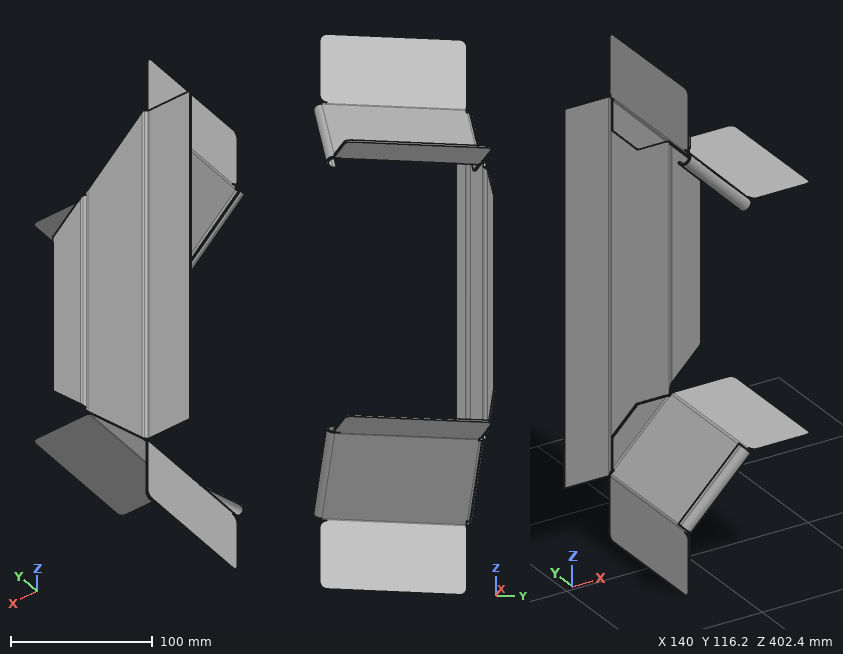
import cadquery as cq
import math

sheet = 1.5
bend_inner = 1.0
bend_outer = bend_inner + sheet
half_height = 201.2

plate_half = 150.5
slope = 50.5
side_flange = 39.0
plate_right = 77.3
tail_inset = 3.0
joggle_step = 3.0
first_joggle_x = -2.0
second_joggle_x = 50.0

flange_right = 101.0
flange_back = 1.0
flange_front = -104.5
corner_radius = 5.0

hook_start = -103.5
hook_outer = 5.2
hook_return = 3.0

tab_width = 19.5
tab_left = 1.5
tab_lift = 1.0

hook_inner = hook_outer - sheet
slope_bottom = plate_half - slope
wall_length = slope * math.sqrt(2)
wall_back = joggle_step - bend_outer
half_bend = math.radians(22.5)
bend_setback = bend_outer * math.tan(half_bend)
mitre_shift = sheet * math.tan(half_bend)


def round_edges(body, points, radius):
    """Fillet the edge nearest to each point."""
    for point in points:
        body = body.edges(cq.selectors.NearestToPointSelector(point)).fillet(radius)
    return body


def make_back_plate():
    """Joggled sheet: side flange, recessed centre panel and tapered tail."""
    first_end = first_joggle_x + joggle_step
    second_end = second_joggle_x + joggle_step
    section = (
        cq.Workplane("XY")
        .moveTo(-side_flange, 0)
        .lineTo(first_joggle_x, 0)
        .lineTo(first_end, joggle_step)
        .lineTo(second_joggle_x, joggle_step)
        .lineTo(second_end, 2 * joggle_step)
        .lineTo(plate_right, 2 * joggle_step)
        .lineTo(plate_right, 2 * joggle_step + sheet)
        .lineTo(second_end - mitre_shift, 2 * joggle_step + sheet)
        .lineTo(second_joggle_x - mitre_shift, joggle_step + sheet)
        .lineTo(first_end - mitre_shift, joggle_step + sheet)
        .lineTo(first_joggle_x - mitre_shift, sheet)
        .lineTo(-side_flange, sheet)
        .close()
        .extrude(plate_half, both=True)
    )
    convex_front = [(first_joggle_x, 0, 0), (second_joggle_x, joggle_step, 0)]
    concave_front = [(first_end, joggle_step, 0), (second_end, 2 * joggle_step, 0)]
    concave_back = [(x - mitre_shift, y + sheet, 0) for x, y, _ in convex_front]
    convex_back = [(x - mitre_shift, y + sheet, 0) for x, y, _ in concave_front]
    section = round_edges(section, convex_front + convex_back, bend_outer)
    section = round_edges(section, concave_front + concave_back, bend_inner)
    tail_top = slope_bottom - tail_inset
    tail_end = tail_top - (plate_right - slope)
    upper_edge = [
        (-side_flange, plate_half),
        (0, plate_half),
        (slope, slope_bottom),
        (slope, tail_top),
        (plate_right, tail_end),
    ]
    lower_edge = [(x, -z) for x, z in reversed(upper_edge)]
    outline = (
        cq.Workplane("XZ")
        .polyline(upper_edge + lower_edge)
        .close()
        .extrude(plate_half, both=True)
    )
    return section.intersect(outline)


def make_wall():
    """Sloped wall with rounded bends and the roots of both flanges."""
    outer = [
        (0, plate_half + bend_setback),
        (0, plate_half),
        (slope, slope_bottom),
        (slope + bend_setback, slope_bottom),
    ]
    inner = [
        (slope + bend_setback, slope_bottom - sheet),
        (slope - mitre_shift, slope_bottom - sheet),
        (-sheet, plate_half - mitre_shift),
        (-sheet, plate_half + bend_setback),
    ]
    strip = (
        cq.Workplane("XZ", origin=(0, wall_back, 0))
        .polyline(outer + inner)
        .close()
        .extrude(wall_back - hook_start)
    )
    middle = (wall_back + hook_start) / 2
    concave = [(x, middle, z) for x, z in outer[1:3]]
    convex = [(x, middle, z) for x, z in inner[1:3]]
    strip = round_edges(strip, concave, bend_inner)
    return round_edges(strip, convex, bend_outer)


def make_vertical_flange():
    """Flange that rises from the upper end of the wall."""
    bottom = plate_half + bend_setback
    return (
        cq.Workplane("XY")
        .box(sheet, flange_back - flange_front, half_height - bottom, centered=False)
        .translate((-sheet, flange_front, bottom))
        .edges("|X")
        .edges(">Z or <Y")
        .fillet(corner_radius)
    )


def make_horizontal_flange():
    """Flange that runs right from the lower end of the wall."""
    left = slope + bend_setback
    return (
        cq.Workplane("XY")
        .box(flange_right - left, flange_back - flange_front, sheet, centered=False)
        .translate((left, flange_front, slope_bottom - sheet))
        .edges("|Z")
        .edges(">X or <Y")
        .fillet(corner_radius)
    )


def wall_end_plane():
    """Plane square to the wall at its upper end: local x inward, local y along +Y."""
    return cq.Plane(origin=(0, 0, plate_half), xDir=(-1, 0, -1), normal=(1, 0, -1))


def make_hook():
    """Lip that curls inward from the front edge of the wall."""
    return_end = hook_start + hook_return
    return (
        cq.Workplane(wall_end_plane())
        .moveTo(0, hook_start)
        .threePointArc((hook_outer, hook_start - hook_outer), (2 * hook_outer, hook_start))
        .lineTo(2 * hook_outer, return_end)
        .lineTo(2 * hook_outer - sheet, return_end)
        .lineTo(2 * hook_outer - sheet, hook_start)
        .threePointArc((hook_outer, hook_start - hook_inner), (sheet, hook_start))
        .close()
        .extrude(wall_length)
    )


def make_tab():
    """Mounting tab bent inward from the wall, lying on the centre panel."""
    tab_back = joggle_step
    tab_front = tab_back - sheet
    diagonal = math.sqrt(0.5)
    tab = (
        cq.Workplane(wall_end_plane())
        .moveTo(0, wall_back)
        .threePointArc(
            (bend_outer * (1 - diagonal), wall_back + bend_outer * diagonal),
            (bend_outer, tab_back),
        )
        .lineTo(tab_width, tab_back)
        .lineTo(tab_width, tab_front)
        .lineTo(bend_outer, tab_front)
        .threePointArc(
            (bend_outer - bend_inner * diagonal, wall_back + bend_inner * diagonal),
            (sheet, wall_back),
        )
        .close()
        .extrude(wall_length)
    )
    window = (
        cq.Workplane("XY")
        .box(slope - tab_left, bend_outer, slope - tab_lift, centered=False)
        .translate((tab_left, wall_back, slope_bottom + tab_lift))
    )
    return tab.intersect(window)


def make_bracket(side):
    """Folded bracket: the upper one for side = 1, its mirror image for side = -1."""
    bracket = make_wall()
    for piece in (make_vertical_flange(), make_horizontal_flange(), make_hook(), make_tab()):
        bracket = bracket.union(piece)
    if side < 0:
        bracket = bracket.mirror("XY")
    return bracket


back_plate = make_back_plate()
brackets = [make_bracket(side) for side in (1, -1)]

result = cq.Compound.makeCompound([back_plate.val(), *[bracket.val() for bracket in brackets]])